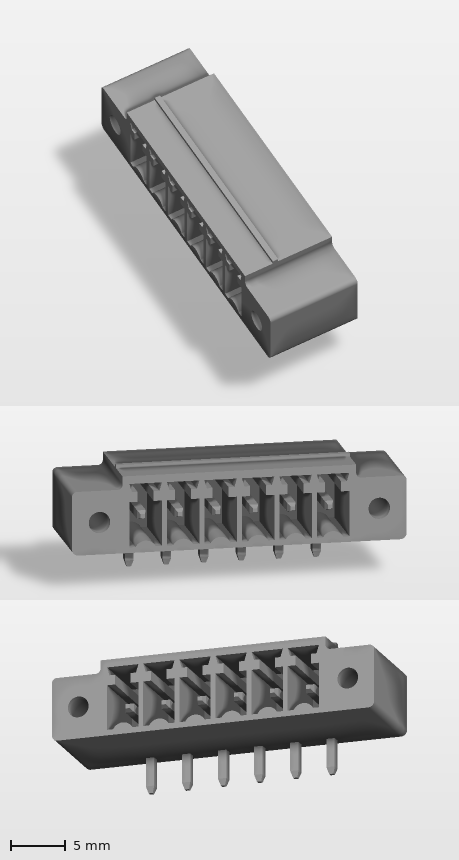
import cadquery as cq

length = 31.3
depth = 9.2
total_height = 10.95
pin_drop = 3.35
ridge_height = 0.3
shoulder_height = 6.05
centre_width = 21.85
shoulder_radius = 0.47
bottom_radius = 0.6
body_height = total_height - pin_drop - ridge_height

ridge_width = 0.55
ridge_from_back = 5.7

mount_spacing = 26.17
mount_diameter = 2.0
mount_height = 3.05

contact_count = 6
pitch = 3.5
back_wall = 2.2
cavity_depth = depth - back_wall

cavity_width = 3.05
cavity_floor = 0.53
cavity_shoulder = 4.82
neck_width = 1.5
neck_top = 5.75
keyway_base_width = 2.57
cavity_top = 6.55
bump_width = 1.88
bump_height = 0.55

pin_size = 0.8
tip_size = 0.4
tip_length = 0.63
pin_height = 3.07
pin_from_back = 1.2
pin_recess = 1.35


def front_plane():
    """Workplane on the front face; a negative extrusion goes back into the housing."""
    return cq.Workplane("XZ")


def make_housing():
    """Low flanged body with a taller centre block, blended by fillets at the steps."""
    flanges = (
        cq.Workplane()
        .box(length, depth, shoulder_height, centered=(True, False, False))
        .edges("|Y and >Z")
        .fillet(shoulder_radius)
        .edges("|Y and <Z")
        .fillet(bottom_radius)
    )
    centre_block = cq.Workplane().box(centre_width, depth, body_height, centered=(True, False, False))
    step_corners = [(side * centre_width / 2, depth / 2, shoulder_height) for side in (-1, 1)]
    housing = flanges.union(centre_block)
    for corner in step_corners:
        housing = housing.edges(cq.selectors.NearestToPointSelector(corner)).fillet(shoulder_radius)
    return housing


def make_ridge():
    """Square ridge running the length of the centre block."""
    ridge_centre = depth - ridge_from_back - ridge_width / 2
    return (
        cq.Workplane(origin=(0, ridge_centre, body_height))
        .rect(centre_width, ridge_width)
        .extrude(ridge_height)
    )


def make_mount_holes():
    """Blind holes from the front, as deep as the contact cavities."""
    return (
        front_plane()
        .pushPoints([(side * mount_spacing / 2, mount_height) for side in (-1, 1)])
        .circle(mount_diameter / 2)
        .extrude(-cavity_depth)
    )


def make_cavity(x):
    """Keyed cavity: square bay, narrow neck and dovetail keyway above, rounded bump on the floor."""
    return (
        front_plane()
        .moveTo(x + bump_width / 2, cavity_floor)
        .lineTo(x + cavity_width / 2, cavity_floor)
        .lineTo(x + cavity_width / 2, cavity_shoulder)
        .lineTo(x + neck_width / 2, cavity_shoulder)
        .lineTo(x + neck_width / 2, neck_top)
        .lineTo(x + keyway_base_width / 2, neck_top)
        .lineTo(x + cavity_width / 2, cavity_top)
        .lineTo(x - cavity_width / 2, cavity_top)
        .lineTo(x - keyway_base_width / 2, neck_top)
        .lineTo(x - neck_width / 2, neck_top)
        .lineTo(x - neck_width / 2, cavity_shoulder)
        .lineTo(x - cavity_width / 2, cavity_shoulder)
        .lineTo(x - cavity_width / 2, cavity_floor)
        .lineTo(x - bump_width / 2, cavity_floor)
        .threePointArc((x, cavity_floor + bump_height), (x + bump_width / 2, cavity_floor))
        .close()
        .extrude(-cavity_depth)
    )


def make_tapered_bar(start, direction, bar_length):
    """Square bar from start along direction, with its far end tapered; bar_length includes the tip."""
    plane = cq.Plane(origin=start, xDir=(1, 0, 0), normal=direction)
    return (
        cq.Workplane(plane)
        .rect(pin_size, pin_size)
        .extrude(bar_length - tip_length)
        .faces(cq.selectors.DirectionMinMaxSelector(cq.Vector(direction)))
        .workplane(centerOption="CenterOfMass")
        .rect(pin_size, pin_size)
        .workplane(offset=tip_length)
        .rect(tip_size, tip_size)
        .loft(combine=True)
    )


def make_pin(x):
    """Right-angle contact: one arm towards the front, one arm down through the underside."""
    bend_y = depth - pin_from_back
    bend = (x, bend_y, pin_height)
    contact_arm = make_tapered_bar(bend, (0, -1, 0), bend_y - pin_recess)
    solder_arm = make_tapered_bar(bend, (0, 0, -1), pin_height + pin_drop)
    return contact_arm.union(solder_arm)


contact_positions = [(i - (contact_count - 1) / 2) * pitch for i in range(contact_count)]

result = make_housing().union(make_ridge()).cut(make_mount_holes())
for x in contact_positions:
    result = result.cut(make_cavity(x)).union(make_pin(x))